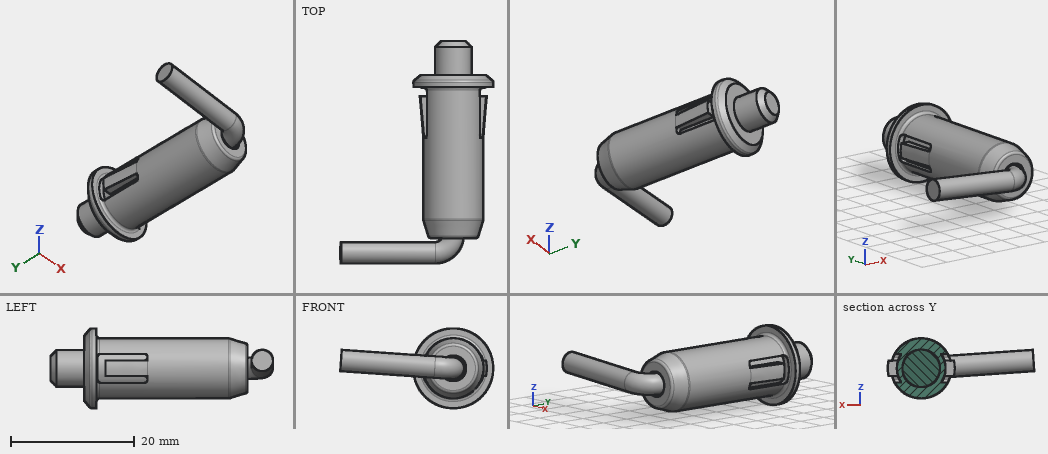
import cadquery as cq
import math


barrel_radius = 9.8 / 2
flange_radius = 13 / 2
flange_thickness = 2.0
flange_bevel_width = 1.23
flange_bevel_length = 1.0
flange_edge_fillet = 0.5
neck_fillet = 0.5
barrel_length = 24.5
taper_length = 3.0
taper_end_radius = 3.97
taper_start_fillet = 0.8
taper_end_fillet = 0.5

plunger_radius = 6.0 / 2
plunger_tip_y = 7.47
plunger_tip_chamfer = 1.0
plunger_rear_y = -12.65

handle_diameter = 3.5
handle_radius = handle_diameter / 2
handle_bend_radius = 3.0
handle_reach = 18.25
handle_tilt = 4.0
handle_axis_y = plunger_tip_y - 36.1 + handle_radius
hole_radius = 3.7 / 2
hole_mouth_radius = 4.2 / 2
hole_chamfer = hole_mouth_radius - hole_radius

tongue_width = 2.53
tongue_tip_y = -1.48
tongue_root_y = -8.25
tongue_tip_radius = 5.45
window_width = 4.7
window_front_y = -0.18
window_floor_radius = 3.97
window_corner_fillet = 0.5
slab_length = flange_radius


def make_turned_body():
    """Flange and barrel as one solid of revolution, with rounded edges."""
    bevel_y = flange_thickness - flange_bevel_length
    body = (
        cq.Workplane("XY")
        .moveTo(0, flange_thickness)
        .lineTo(flange_radius - flange_bevel_width, flange_thickness)
        .lineTo(flange_radius, bevel_y)
        .lineTo(flange_radius, 0)
        .lineTo(barrel_radius, 0)
        .lineTo(barrel_radius, taper_length - barrel_length)
        .lineTo(taper_end_radius, -barrel_length)
        .lineTo(0, -barrel_length)
        .close()
        .revolve(360, (0, 0, 0), (0, 1, 0))
    )
    rounded_edges = [
        (flange_radius, bevel_y, flange_edge_fillet),
        (barrel_radius, 0, neck_fillet),
        (barrel_radius, taper_length - barrel_length, taper_start_fillet),
        (taper_end_radius, -barrel_length, taper_end_fillet),
    ]
    for radius, y, fillet in rounded_edges:
        body = body.edges(edge_at(radius, y)).fillet(fillet)
    return body


def edge_at(radius, y, margin=0.018):
    """Selector for the circular edge of the given radius at height y."""
    outer = radius + margin
    return cq.selectors.BoxSelector(
        (-outer, y - margin, -outer), (outer, y + margin, outer), boundingbox=True
    ) - cq.selectors.BoxSelector(
        (margin - radius, y - margin, margin - radius),
        (radius - margin, y + margin, radius - margin),
        boundingbox=True,
    )


def make_tongue_ramps():
    """Conical ramps that make both tongues stand proud of the barrel."""
    cone = (
        cq.Workplane("XY")
        .moveTo(0, tongue_tip_y)
        .lineTo(tongue_tip_radius, tongue_tip_y)
        .lineTo(barrel_radius, tongue_root_y)
        .lineTo(0, tongue_root_y)
        .close()
        .revolve(360, (0, 0, 0), (0, 1, 0))
    )
    slab = cq.Workplane("XY").box(2 * slab_length, 2 * barrel_length, tongue_width)
    return cone.intersect(slab)


def make_windows():
    """U-shaped recesses around both tongues, with a round floor."""
    half_window = window_width / 2
    half_tongue = tongue_width / 2
    outline = [
        (window_front_y, -half_window),
        (tongue_root_y, -half_window),
        (tongue_root_y, -half_tongue),
        (tongue_tip_y, -half_tongue),
        (tongue_tip_y, half_tongue),
        (tongue_root_y, half_tongue),
        (tongue_root_y, half_window),
        (window_front_y, half_window),
    ]
    slots = (
        cq.Workplane("YZ")
        .polyline(outline)
        .close()
        .extrude(slab_length, both=True)
        .edges("|X")
        .edges("<Y or >Y")
        .fillet(window_corner_fillet)
    )
    core = cq.Workplane("XZ").circle(window_floor_radius).extrude(barrel_length)
    core = core.translate((0, flange_thickness, 0))
    return slots.cut(core)


def make_bore():
    """Plunger bore from the front and chamfered handle hole from the rear."""
    return (
        cq.Workplane("XY")
        .moveTo(0, flange_thickness)
        .lineTo(plunger_radius, flange_thickness)
        .lineTo(plunger_radius, plunger_rear_y)
        .lineTo(hole_radius, plunger_rear_y)
        .lineTo(hole_radius, hole_chamfer - barrel_length)
        .lineTo(hole_mouth_radius, -barrel_length)
        .lineTo(0, -barrel_length)
        .close()
        .revolve(360, (0, 0, 0), (0, 1, 0))
    )


def make_housing():
    body = make_turned_body().union(make_tongue_ramps())
    return body.cut(make_windows()).cut(make_bore())


def make_plunger():
    return (
        cq.Workplane("XZ", origin=(0, plunger_tip_y, 0))
        .circle(plunger_radius)
        .extrude(plunger_tip_y - plunger_rear_y)
        .faces(">Y")
        .chamfer(plunger_tip_chamfer)
    )


def make_handle():
    """Round rod from the plunger, bent towards -X and tilted upwards."""
    bend_start_y = handle_axis_y + handle_bend_radius
    bend_offset = handle_bend_radius * (1 - math.sqrt(0.5))
    path = (
        cq.Workplane("XY")
        .moveTo(0, plunger_rear_y)
        .lineTo(0, bend_start_y)
        .threePointArc(
            (-bend_offset, handle_axis_y + bend_offset),
            (-handle_bend_radius, handle_axis_y),
        )
        .lineTo(-handle_reach, handle_axis_y)
    )
    rod = cq.Workplane("XZ", origin=(0, plunger_rear_y, 0)).circle(handle_radius).sweep(path)
    return rod.rotate((0, 0, 0), (0, 1, 0), handle_tilt)


housing = make_housing()
plunger = make_plunger()
handle = make_handle()

result = cq.Compound.makeCompound([housing.val(), plunger.val(), handle.val()])